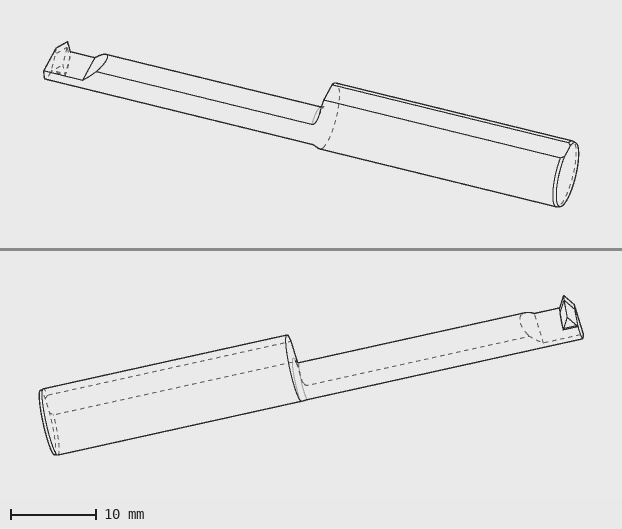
import cadquery as cq
import math

length = 63.5
shank_diameter = 7.95
shank_start = 33.8
height_over_flat = 7.7
lead_length = 0.4
lead_depth = 0.1

neck_diameter = 4.5
neck_y = -2.05
neck_fillet = 0.65

rake_length = 4.8
ramp_angle = 45.0

tooth_half_width = 0.9
tooth_angle = 60.0
land_height = 0.75
land_setback = 0.2
relief_angle = 45.0

shank_radius = shank_diameter / 2
flat_height = height_over_flat - shank_radius
neck_radius = neck_diameter / 2
tooth_width = 2 * tooth_half_width
tooth_rise = tooth_half_width * math.tan(math.radians(tooth_angle))
root_y = neck_y + neck_radius
lower_setback = (neck_radius - land_height) * math.tan(math.radians(relief_angle))

relief_levels = [
    (0, 0),
    (land_setback, -land_height),
    (land_setback + lower_setback, -neck_radius),
]


def make_shank():
    """Round shank with a lead-in at the rear and one flat along the top."""
    shank = (
        cq.Workplane("XY")
        .moveTo(shank_start, 0)
        .lineTo(shank_start, shank_radius)
        .lineTo(length - lead_length, shank_radius)
        .lineTo(length, shank_radius - lead_depth)
        .lineTo(length, 0)
        .close()
        .revolve(360, (0, 0, 0), (1, 0, 0))
    )
    above_flat = cq.Workplane("XY").box(
        length, 2 * shank_radius, shank_radius, centered=(False, True, False)
    )
    return shank.cut(above_flat.translate((0, 0, flat_height)))


def make_neck():
    """Round neck that flares into the shank face and stays inside the shank diameter."""
    neck = (
        cq.Workplane("XY")
        .moveTo(0, neck_y)
        .lineTo(0, neck_y + neck_radius)
        .lineTo(shank_start - neck_fillet, neck_y + neck_radius)
        .radiusArc((shank_start, neck_y + neck_radius + neck_fillet), -neck_fillet)
        .lineTo(shank_start, neck_y)
        .close()
        .revolve(360, (0, neck_y, 0), (1, neck_y, 0))
    )
    envelope = cq.Workplane("YZ").circle(shank_radius).extrude(shank_start)
    return neck.intersect(envelope)


def make_rake_cut():
    """Space above the rake face, ending in the ramp."""
    ramp_length = shank_radius / math.tan(math.radians(ramp_angle))
    return (
        cq.Workplane("XZ")
        .moveTo(0, 0)
        .lineTo(rake_length, 0)
        .lineTo(rake_length + ramp_length, shank_radius)
        .lineTo(0, shank_radius)
        .close()
        .extrude(shank_radius, both=True)
    )


def make_relief_cut():
    """Space beside the neck on the +Y side, bounded by the relieved tooth root."""
    root_line = [(root_y - setback, z) for setback, z in relief_levels]
    outside = [(shank_radius, -neck_radius), (shank_radius, 0)]
    return cq.Workplane("YZ").polyline(root_line + outside).close().extrude(tooth_width)


def tooth_outline(setback, z):
    """Triangular section of the tooth at height z."""
    base_y = root_y - setback
    return cq.Wire.makePolygon(
        [
            cq.Vector(0, base_y, z),
            cq.Vector(tooth_half_width, base_y + tooth_rise, z),
            cq.Vector(tooth_width, base_y, z),
        ],
        close=True,
    )


def add_tooth(body):
    """Join the tooth, one slanted prism for each relief step."""
    for upper, lower in zip(relief_levels, relief_levels[1:]):
        prism = cq.Solid.makeLoft([tooth_outline(*upper), tooth_outline(*lower)], True)
        body = body.union(cq.Workplane(prism))
    return body


neck_with_tip = add_tooth(make_neck().cut(make_rake_cut()).cut(make_relief_cut()))
result = make_shank().union(neck_with_tip)